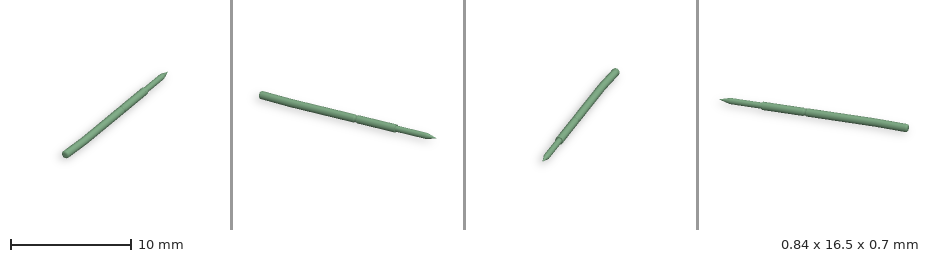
import cadquery as cq
import math


total_length = 16.5
collar_radius = 0.35

shaft_radius = 0.26
tip_length = 0.97
plunger_length = 3.8

barrel_radius = 0.345
collar_width = 0.27
groove_center = 7.5
groove_width = 0.3
groove_depth = 0.055

bend_start = 13.5
bend_length = 0.15
bend_angle = math.radians(3)
end_rounding = 0.18

tip_y = total_length / 2
tail_end_y = -total_length / 2
shaft_y = tip_y - tip_length
collar_front_y = tip_y - plunger_length
collar_back_y = collar_front_y - collar_width
groove_y = tip_y - groove_center
bend_y = tip_y - bend_start

bend_radius = bend_length / math.sin(bend_angle)
bend_end_x = -bend_radius * (1 - math.cos(bend_angle))
bend_end_y = bend_y - bend_length


def make_straight_section():
    """Turned plunger, collar and grooved barrel, up to the bend."""
    half_groove = groove_width / 2
    profile = (
        cq.Workplane("XY")
        .moveTo(0, tip_y)
        .lineTo(shaft_radius, shaft_y)
        .lineTo(shaft_radius, collar_front_y)
        .lineTo(collar_radius, collar_front_y)
        .lineTo(collar_radius, collar_back_y)
        .lineTo(barrel_radius, collar_back_y)
        .lineTo(barrel_radius, groove_y + half_groove)
        .threePointArc(
            (barrel_radius - groove_depth, groove_y),
            (barrel_radius, groove_y - half_groove),
        )
        .lineTo(barrel_radius, bend_y)
        .lineTo(0, bend_y)
        .close()
    )
    return profile.revolve(360, (0, 0, 0), (0, 1, 0))


def make_bend():
    """Short curved length of barrel that turns the axis toward -X."""
    return (
        cq.Workplane("XZ", origin=(0, bend_y, 0))
        .circle(barrel_radius)
        .revolve(math.degrees(bend_angle), (-bend_radius, 1, 0), (-bend_radius, 0, 0))
    )


def make_tail():
    """Straight tilted tail with a rounded end and a small flat face."""
    flat_radius = barrel_radius - end_rounding
    rim_reach = flat_radius * math.sin(bend_angle)
    tail_length = (bend_end_y - tail_end_y - rim_reach) / math.cos(bend_angle)
    direction = cq.Vector(-math.sin(bend_angle), -math.cos(bend_angle), 0)
    start = cq.Vector(bend_end_x, bend_end_y, 0)
    return (
        cq.Workplane(cq.Plane(start, xDir=(0, 0, 1), normal=direction))
        .circle(barrel_radius)
        .extrude(tail_length)
        .faces(cq.selectors.DirectionMinMaxSelector(direction))
        .edges()
        .fillet(end_rounding)
    )


result = make_straight_section().union(make_bend()).union(make_tail())